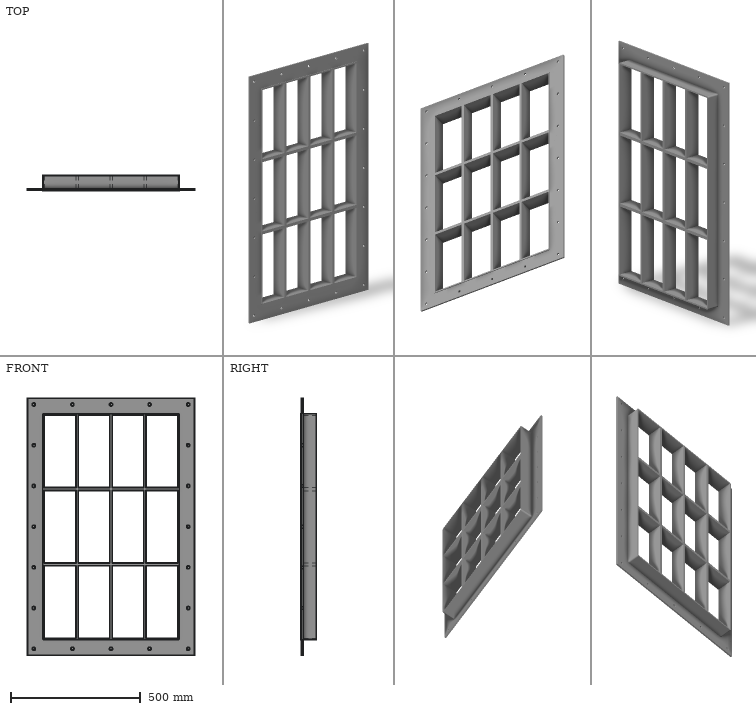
import cadquery as cq

FLANGE_WIDTH = 644.0
FLANGE_HEIGHT = 990.0
FLANGE_THICKNESS = 6.0
FLANGE_MARGIN = 60.0

SLEEVE_DEPTH = 60.0
SLEEVE_WALL = 6.0
SLEEVE_CORNER_RADIUS = SLEEVE_WALL
SLEEVE_FRONT_LIP = 3.0
SLEEVE_WIDTH = FLANGE_WIDTH - 2 * FLANGE_MARGIN
SLEEVE_HEIGHT = FLANGE_HEIGHT - 2 * FLANGE_MARGIN
OPENING_WIDTH = SLEEVE_WIDTH - 2 * SLEEVE_WALL
OPENING_HEIGHT = SLEEVE_HEIGHT - 2 * SLEEVE_WALL

COLUMNS = 4
ROWS = 3
UPRIGHT_THICKNESS = 10.0
CROSSBAR_THICKNESS = 12.0
COLUMN_PITCH = (OPENING_WIDTH + UPRIGHT_THICKNESS) / COLUMNS
ROW_PITCH = (OPENING_HEIGHT + CROSSBAR_THICKNESS) / ROWS

HOLE_DIAMETER = 10.5
HOLE_EDGE_DISTANCE = 25.0
HOLE_SPACES_ACROSS = 4
HOLE_SPACES_UP = 6


def block(width, height, front, depth, x=0.0, z=0.0):
    """Box centred at (x, z), running from y = front towards +Y."""
    return cq.Workplane("XY").box(width, depth, height).translate((x, front + depth / 2, z))


def make_flange():
    return block(FLANGE_WIDTH, FLANGE_HEIGHT, SLEEVE_FRONT_LIP, FLANGE_THICKNESS)


def make_sleeve_body():
    body = block(SLEEVE_WIDTH, SLEEVE_HEIGHT, 0.0, SLEEVE_DEPTH)
    return body.edges("|Y").fillet(SLEEVE_CORNER_RADIUS)


def make_opening():
    return block(OPENING_WIDTH, OPENING_HEIGHT, 0.0, SLEEVE_DEPTH)


def centred_positions(count, pitch):
    return [(i - (count - 1) / 2) * pitch for i in range(count)]


def add_grid(part):
    for x in centred_positions(COLUMNS - 1, COLUMN_PITCH):
        part = part.union(block(UPRIGHT_THICKNESS, OPENING_HEIGHT, 0.0, SLEEVE_DEPTH, x=x))
    for z in centred_positions(ROWS - 1, ROW_PITCH):
        part = part.union(block(OPENING_WIDTH, CROSSBAR_THICKNESS, 0.0, SLEEVE_DEPTH, z=z))
    return part


def hole_positions():
    """Evenly spaced points on the rectangle that runs inside the flange edge."""
    span_x = FLANGE_WIDTH - 2 * HOLE_EDGE_DISTANCE
    span_z = FLANGE_HEIGHT - 2 * HOLE_EDGE_DISTANCE
    columns = centred_positions(HOLE_SPACES_ACROSS + 1, span_x / HOLE_SPACES_ACROSS)
    rows = centred_positions(HOLE_SPACES_UP + 1, span_z / HOLE_SPACES_UP)
    top_and_bottom = [(x, z) for x in columns for z in (rows[0], rows[-1])]
    sides = [(x, z) for x in (columns[0], columns[-1]) for z in rows[1:-1]]
    return top_and_bottom + sides


def make_holes():
    holes = cq.Workplane("XZ").pushPoints(hole_positions()).circle(HOLE_DIAMETER / 2)
    return holes.extrude(-SLEEVE_DEPTH)


frame = make_flange().union(make_sleeve_body()).cut(make_opening())
result = add_grid(frame).cut(make_holes())